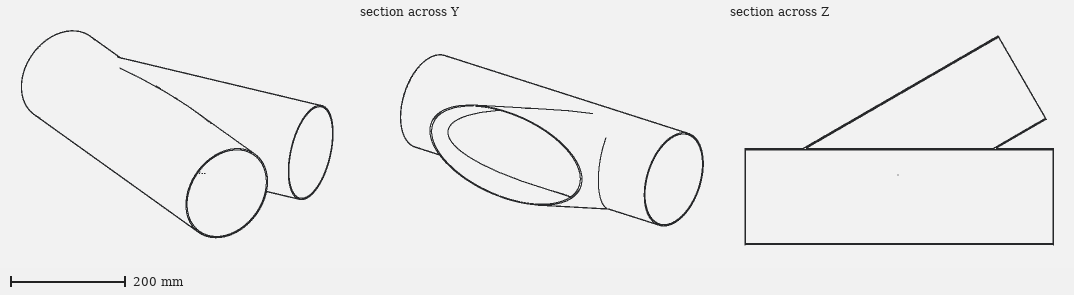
import cadquery as cq

run_length = 537.0
outer_diameter = 168.0
bore_diameter = 163.0
branch_position = 123.5
branch_length = 414.5
branch_angle = 30.0


def run_cylinder(diameter):
    """Solid cylinder along the main pipe."""
    return cq.Workplane("YZ").circle(diameter / 2).extrude(run_length)


def branch_cylinder(diameter):
    """Solid cylinder from the crossing of the axes to the open branch end."""
    straight = cq.Workplane("YZ").circle(diameter / 2).extrude(branch_length)
    tilted = straight.rotate((0, 0, 0), (0, 0, 1), branch_angle)
    return tilted.translate((branch_position, 0, 0))


run_pipe = run_cylinder(outer_diameter).cut(run_cylinder(bore_diameter))

branch_tube = branch_cylinder(outer_diameter).cut(branch_cylinder(bore_diameter))
branch_pipe = branch_tube.cut(run_cylinder(outer_diameter))

result = run_pipe.union(branch_pipe)